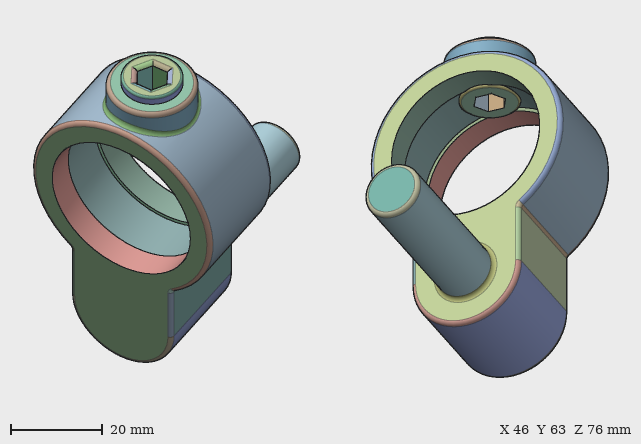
import cadquery as cq
import math

ring_radius = 23.0
body_depth = 25.0
edge_round = 1.0

land_radius = 17.8
relief_radius = 18.6
land_length = 6.5

lug_radius = 13.0
lug_axis_z = -33.0

rod_radius = 6.5
rod_length = 38.0

boss_radius = 10.0
boss_top_z = 28.0
boss_axis_y = body_depth / 2

screw_radius = 6.8
screw_top_z = 30.0
screw_tip_z = 17.2
screw_edge_round = 0.5
socket_flats = 6.5
socket_mouth_flats = 9.0
socket_mouth_round = 1.45


def cylinder_along_y(radius, start_y, length, axis_z=0.0):
    return cq.Workplane("XZ", origin=(0, start_y, axis_z)).circle(radius).extrude(-length)


def cylinder_along_z(radius, bottom_z, top_z):
    base = cq.Workplane("XY", origin=(0, boss_axis_y, bottom_z))
    return base.circle(radius).extrude(top_z - bottom_z)


def make_ring_and_lug():
    ring = cylinder_along_y(ring_radius, 0, body_depth)
    lug_end = cylinder_along_y(lug_radius, 0, body_depth, lug_axis_z)
    lug_sides = (
        cq.Workplane("XZ")
        .center(0, lug_axis_z / 2)
        .rect(2 * lug_radius, -lug_axis_z)
        .extrude(-body_depth)
    )
    body = ring.union(lug_end).union(lug_sides)

    corner_z = -math.sqrt(ring_radius**2 - lug_radius**2)
    for side in (-1, 1):
        corner = cq.selectors.NearestToPointSelector((side * lug_radius, body_depth / 2, corner_z))
        body = body.edges("|Y").edges(corner).fillet(edge_round)
    return body.faces("<Y or >Y").edges().fillet(edge_round)


def add_boss(body):
    boss = cylinder_along_z(boss_radius, 0, boss_top_z).faces(">Z").edges().fillet(edge_round)

    above_bore = cq.selectors.BoxSelector(
        (-ring_radius, edge_round, land_radius),
        (ring_radius, body_depth - edge_round, ring_radius + edge_round),
    )
    along_y = cq.selectors.ParallelDirSelector(cq.Vector(0, 1, 0))
    along_z = cq.selectors.ParallelDirSelector(cq.Vector(0, 0, 1))
    foot = above_bore - along_y - along_z
    return body.union(boss).edges(foot).fillet(edge_round)


def add_rod(body):
    overlap = edge_round
    rod = cylinder_along_y(rod_radius, body_depth - overlap, rod_length + overlap, lug_axis_z)
    rod = rod.faces(">Y").edges().fillet(edge_round)
    foot = cq.selectors.NearestToPointSelector((0, body_depth, lug_axis_z))
    return body.union(rod).edges(foot).fillet(edge_round)


def cut_bore(body):
    relief_length = body_depth - 2 * land_length
    lands = cylinder_along_y(land_radius, 0, body_depth)
    relief = cylinder_along_y(relief_radius, land_length, relief_length)
    return body.cut(lands).cut(relief)


def make_clamp():
    clamp = add_rod(add_boss(make_ring_and_lug()))
    screw_hole = cylinder_along_z(screw_radius, 0, boss_top_z)
    return cut_bore(clamp).cut(screw_hole)


def make_hexagon(flats):
    """Hexagonal prism as long as the screw, with corners along X."""
    base = cq.Workplane("XY", origin=(0, boss_axis_y, screw_tip_z))
    corners = flats / math.cos(math.pi / 6)
    return base.polygon(6, corners).extrude(screw_top_z - screw_tip_z)


def make_set_screw():
    screw = cylinder_along_z(screw_radius, screw_tip_z, screw_top_z)
    screw = screw.faces("<Z or >Z").edges().fillet(screw_edge_round)

    pilot_flats = socket_mouth_flats - 2 * socket_mouth_round
    screw = screw.cut(make_hexagon(pilot_flats))
    screw = screw.faces(">Z").edges("%Line").fillet(socket_mouth_round)
    return screw.cut(make_hexagon(socket_flats))


clamp = make_clamp()
set_screw = make_set_screw()
result = cq.Compound.makeCompound([clamp.val(), set_screw.val()])